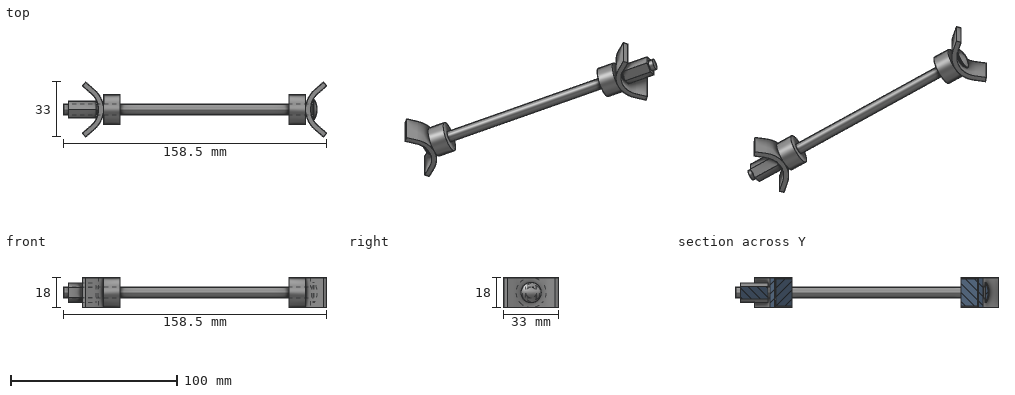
import cadquery as cq
import math

total_length = 158.5
height = 18.0

plate_thickness = 3.0
plate_inner_radius = 12.7
plate_outer_radius = plate_inner_radius + plate_thickness
arc_half_angle = math.radians(49)
arm_length = 7.1

collar_diameter = height
collar_length = 10.0

rod_diameter = 6.5
rod_radius = rod_diameter / 2
neck_width = rod_diameter
head_diameter = 12.2
head_rim_thickness = 0.6
head_dome_height = 1.7
head_underside_gap = 1.6

nut_across_flats = 10.1
nut_across_corners = nut_across_flats / math.cos(math.radians(30))
nut_start = 2.9
nut_length = 16.8

plate_depth = (
    plate_outer_radius
    - plate_inner_radius * math.cos(arc_half_angle)
    + arm_length * math.sin(arc_half_angle)
)
right_crown = total_length - plate_depth
left_crown = 24.1
right_seat = right_crown + plate_thickness
head_start = right_seat + head_underside_gap


def cylinder(start, length, diameter):
    """Solid cylinder on the X axis."""
    return cq.Workplane("YZ", origin=(start, 0, 0)).circle(diameter / 2).extrude(length)


def make_neck():
    """Square length of the bolt from the right plate's crown to the head."""
    return cq.Workplane("YZ", origin=(right_crown, 0, 0)).rect(neck_width, neck_width).extrude(
        head_start - right_crown
    )


def arc_end(radius, side):
    """End of a plate arc, measured from the arc centre."""
    return radius * math.cos(arc_half_angle), side * radius * math.sin(arc_half_angle)


def arm_tip(radius, side):
    """End of the straight arm that leaves the arc tangentially."""
    x, y = arc_end(radius, side)
    return x - arm_length * math.sin(arc_half_angle), y + side * arm_length * math.cos(arc_half_angle)


def make_plate(crown, facing):
    """Curved plate whose crown points along +X (facing 1) or -X (facing -1)."""
    plate = (
        cq.Workplane("XY", origin=(0, 0, -height / 2))
        .moveTo(*arm_tip(plate_outer_radius, -1))
        .lineTo(*arc_end(plate_outer_radius, -1))
        .threePointArc((plate_outer_radius, 0), arc_end(plate_outer_radius, 1))
        .lineTo(*arm_tip(plate_outer_radius, 1))
        .lineTo(*arm_tip(plate_inner_radius, 1))
        .lineTo(*arc_end(plate_inner_radius, 1))
        .threePointArc((plate_inner_radius, 0), arc_end(plate_inner_radius, -1))
        .lineTo(*arm_tip(plate_inner_radius, -1))
        .close()
        .extrude(height)
    )
    if facing < 0:
        plate = plate.mirror("YZ")
    return plate.translate((crown - facing * plate_outer_radius, 0, 0))


def make_collar(start):
    """Round collar bored to fit the rod."""
    collar = cylinder(start, collar_length, collar_diameter)
    return collar.cut(cylinder(start, collar_length, rod_diameter))


def make_bolt():
    """Carriage bolt: turned rod and domed head with a square neck between them."""
    rim_end = head_start + head_rim_thickness
    head_end = rim_end + head_dome_height
    head_radius = head_diameter / 2
    dome_radius = (head_radius**2 + head_dome_height**2) / (2 * head_dome_height)
    dome_centre = head_end - dome_radius
    mid_angle = math.asin(head_radius / dome_radius) / 2
    dome_middle = (
        dome_centre + dome_radius * math.cos(mid_angle),
        dome_radius * math.sin(mid_angle),
    )
    turned = (
        cq.Workplane("XY")
        .moveTo(0, 0)
        .lineTo(0, rod_radius)
        .lineTo(head_start, rod_radius)
        .lineTo(head_start, head_radius)
        .lineTo(rim_end, head_radius)
        .threePointArc(dome_middle, (head_end, 0))
        .close()
        .revolve(360, (0, 0, 0), (1, 0, 0))
    )
    return turned.union(make_neck())


def make_nut():
    """Long hexagonal nut with two corners pointing up and down."""
    nut = (
        cq.Workplane("YZ", origin=(nut_start, 0, 0))
        .transformed(rotate=(0, 0, 90))
        .polygon(6, nut_across_corners)
        .extrude(nut_length)
    )
    return nut.cut(cylinder(nut_start, nut_length, rod_diameter))


left_plate = make_plate(left_crown, 1).cut(cylinder(0, left_crown, rod_diameter))
right_plate = make_plate(right_crown, -1).cut(make_neck())
collars = [make_collar(start) for start in (left_crown, right_crown - collar_length)]
bolt = make_bolt()
nut = make_nut()

result = cq.Compound.makeCompound(
    [
        left_plate.val(),
        right_plate.val(),
        *(collar.val() for collar in collars),
        bolt.val(),
        nut.val(),
    ]
)